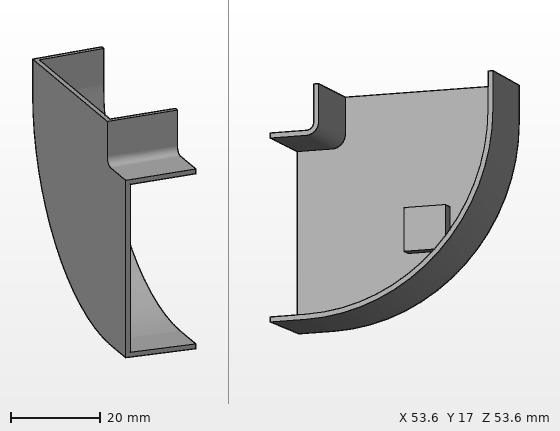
import cadquery as cq
import math

size = 53.6
depth = 17.0
wall = 1.2
bend_radius = 44.85
corner_radius = 1.7
draft_angle = 1.0

block_side = 9.95
block_height = 2.8
block_start = 16.55

overrun = 0.55


def inset_at(y):
    """Draft inset of the outer sides at height y above the front face."""
    return (depth - y) * math.tan(math.radians(draft_angle))


def elbow_section(y, inset, leg_end):
    """Elbow outline at height y, its sides moved inward by inset and its legs ending at leg_end."""
    centre = bend_radius
    outer_radius = bend_radius - inset
    inner_radius = corner_radius + inset
    outer_side = centre - outer_radius
    inner_side = centre - inner_radius
    diagonal = math.sqrt(0.5)
    outer_middle = centre - outer_radius * diagonal
    inner_middle = centre - inner_radius * diagonal
    outline = (
        cq.Workplane("XZ", origin=(0, y, 0))
        .moveTo(outer_side, leg_end)
        .lineTo(outer_side, centre)
        .threePointArc((outer_middle, outer_middle), (centre, outer_side))
        .lineTo(leg_end, outer_side)
        .lineTo(leg_end, inner_side)
        .lineTo(centre, inner_side)
        .threePointArc((inner_middle, inner_middle), (inner_side, centre))
        .lineTo(inner_side, leg_end)
        .close()
    )
    return outline.val()


def drafted_solid(front_section, back_section):
    return cq.Workplane(cq.Solid.makeLoft([front_section, back_section], True))


def make_body():
    """Solid elbow; the leg ends are drafted like the sides."""
    front_inset = inset_at(0)
    return drafted_solid(
        elbow_section(0, front_inset, size - front_inset),
        elbow_section(depth, 0, size),
    )


def make_cavity():
    """Channel parallel to the outer sides, open at the back and at both leg ends."""
    front_y = wall
    back_y = depth + overrun
    return drafted_solid(
        elbow_section(front_y, wall + inset_at(front_y), size + overrun),
        elbow_section(back_y, wall + inset_at(back_y), size + overrun),
    )


def make_block():
    """Square block standing on the front plate, centred on the symmetry diagonal."""
    return cq.Workplane("XY").box(block_side, wall + block_height, block_side, centered=False).translate(
        (block_start, 0, block_start)
    )


result = make_body().cut(make_cavity()).union(make_block())